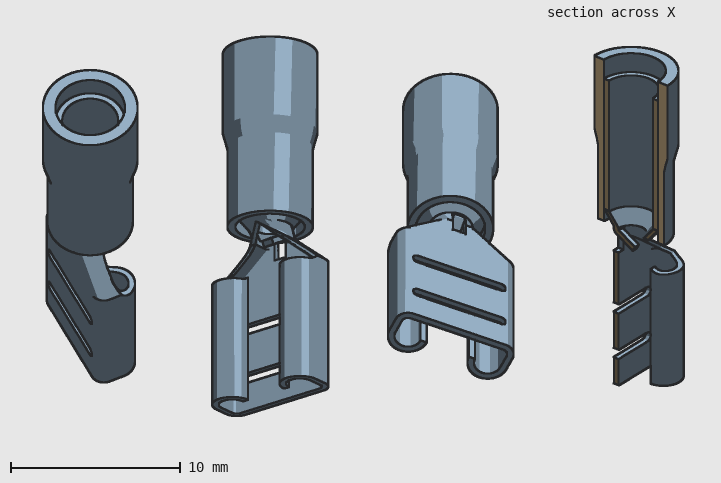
import cadquery as cq
import math

TOTAL_HEIGHT = 21.8
SLEEVE_BOTTOM = 10.8
CLIP_HEIGHT = 7.94
NECK_BOTTOM = 9.85
NECK_TOP = 10.73

SLEEVE_DIAMETER = 5.6
SLEEVE_RADIUS = SLEEVE_DIAMETER / 2
SLEEVE_LOWER_RADIUS = 2.53
SLEEVE_BORE_RADIUS = 2.05
SLEEVE_STRAIGHT = 5.0
SLEEVE_UPPER_BOTTOM = TOTAL_HEIGHT - SLEEVE_STRAIGHT
SLEEVE_LOWER_TOP = SLEEVE_BOTTOM + SLEEVE_STRAIGHT

WALL = 0.4

FERRULE_RECESS = 1.29
FERRULE_TOP = TOTAL_HEIGHT - FERRULE_RECESS

BARREL_RADIUS = 1.33
FUNNEL_HEIGHT = 0.87
FUNNEL_TOP = NECK_TOP + FUNNEL_HEIGHT

CLIP_WIDTH = 7.52
CLIP_HALF_WIDTH = CLIP_WIDTH / 2
BASE_Y = -BARREL_RADIUS
BASE_CORNER_RADIUS = 0.78
CURL_RADIUS = 1.2
CURL_CENTER_X = CLIP_HALF_WIDTH - CURL_RADIUS
SIDE_TOP_Y = 0.37
NECK_CORNER_RADIUS = BARREL_RADIUS / 2
RING_SPLIT_ANGLES = (0, 45, 120, 180)

RELIEF_BOTTOM = 7.59
RELIEF_RADIUS = 1.0
RELIEF_STRAIGHT = 0.63
NECK_EDGE_Y = 0.25

SLOT_HEIGHT = 0.6
SLOT_LENGTH = CLIP_WIDTH - 2 * BASE_CORNER_RADIUS
SLOT_CENTERS_Z = (2.11, 5.2)

WINDOW_WIDTH = 0.85
WINDOW_BOTTOM = 9.07
WINDOW_TOP = 10.57
TONGUE_WIDTH = 0.72
TONGUE_SLOPE = 30.0
TONGUE_TIP_Y = 0.1
TONGUE_TIP_Z = 9.55


def make_sleeve():
    profile = (
        cq.Workplane("XZ")
        .moveTo(SLEEVE_BORE_RADIUS, SLEEVE_BOTTOM)
        .lineTo(SLEEVE_LOWER_RADIUS, SLEEVE_BOTTOM)
        .lineTo(SLEEVE_LOWER_RADIUS, SLEEVE_LOWER_TOP)
        .lineTo(SLEEVE_RADIUS, SLEEVE_UPPER_BOTTOM)
        .lineTo(SLEEVE_RADIUS, TOTAL_HEIGHT)
        .lineTo(SLEEVE_BORE_RADIUS, TOTAL_HEIGHT)
        .close()
    )
    return profile.revolve(360, (0, 0, 0), (0, 1, 0))


def make_ferrule():
    return (
        cq.Workplane("XY")
        .workplane(offset=FUNNEL_TOP)
        .circle(SLEEVE_BORE_RADIUS)
        .circle(SLEEVE_BORE_RADIUS - WALL)
        .extrude(FERRULE_TOP - FUNNEL_TOP)
    )


def both_halves(half):
    return half.union(half.mirror("YZ"))


def polar_point(center_x, center_y, radius, degrees):
    """Point on a circle, the angle counted from -Y toward +X."""
    angle = math.radians(degrees)
    return (center_x + radius * math.sin(angle), center_y - radius * math.cos(angle))


def half_channel(half_width, corner_radius, side_top, z):
    """Wire around the +X half of a U-shaped section, open toward +Y."""
    center_x = half_width - corner_radius
    center_y = BASE_Y + corner_radius
    inner_radius = corner_radius - WALL
    return (
        cq.Workplane("XY")
        .workplane(offset=z)
        .moveTo(0, BASE_Y)
        .lineTo(center_x, BASE_Y)
        .threePointArc(polar_point(center_x, center_y, corner_radius, 45), (half_width, center_y))
        .lineTo(half_width, side_top)
        .lineTo(half_width - WALL, side_top)
        .lineTo(half_width - WALL, center_y)
        .threePointArc(
            polar_point(center_x, center_y, inner_radius, 45), (center_x, BASE_Y + WALL)
        )
        .lineTo(0, BASE_Y + WALL)
        .close()
        .val()
    )


def half_ring(outer_radius, z):
    """Wire around the +X half of a ring, its arcs split in three to pair with half_channel."""
    inner_radius = outer_radius - WALL
    ring = cq.Workplane("XY").workplane(offset=z).moveTo(0, -outer_radius)
    stretches = list(zip(RING_SPLIT_ANGLES, RING_SPLIT_ANGLES[1:]))
    for start, end in stretches:
        ring = ring.threePointArc(
            polar_point(0, 0, outer_radius, (start + end) / 2),
            polar_point(0, 0, outer_radius, end),
        )
    ring = ring.lineTo(0, inner_radius)
    for start, end in reversed(stretches):
        ring = ring.threePointArc(
            polar_point(0, 0, inner_radius, (start + end) / 2),
            polar_point(0, 0, inner_radius, start),
        )
    return ring.close().val()


def ruled_half(lower, upper):
    return cq.Workplane(obj=cq.Solid.makeLoft([lower, upper], True))


def make_clip():
    """Base plate with straight sides and edges curled back toward the base."""
    channel = cq.Workplane(
        obj=cq.Solid.extrudeLinear(
            half_channel(CLIP_HALF_WIDTH, BASE_CORNER_RADIUS, SIDE_TOP_Y, 0),
            [],
            cq.Vector(0, 0, CLIP_HEIGHT),
        )
    )
    curl_inner_radius = CURL_RADIUS - WALL
    curl = (
        cq.Workplane("XY")
        .moveTo(CURL_CENTER_X + CURL_RADIUS, SIDE_TOP_Y)
        .threePointArc(
            (CURL_CENTER_X, SIDE_TOP_Y + CURL_RADIUS), (CURL_CENTER_X - CURL_RADIUS, SIDE_TOP_Y)
        )
        .lineTo(CURL_CENTER_X - curl_inner_radius, SIDE_TOP_Y)
        .threePointArc(
            (CURL_CENTER_X, SIDE_TOP_Y + curl_inner_radius),
            (CURL_CENTER_X + curl_inner_radius, SIDE_TOP_Y),
        )
        .close()
        .extrude(CLIP_HEIGHT)
    )
    return both_halves(channel.union(curl))


def make_shoulder():
    """Channel that narrows from the clip to the neck."""
    lower = half_channel(CLIP_HALF_WIDTH, BASE_CORNER_RADIUS, SIDE_TOP_Y, CLIP_HEIGHT)
    upper = half_channel(BARREL_RADIUS, NECK_CORNER_RADIUS, NECK_EDGE_Y, NECK_BOTTOM)
    return both_halves(ruled_half(lower, upper))


def make_neck():
    """Open channel that closes into a round tube."""
    lower = half_channel(BARREL_RADIUS, NECK_CORNER_RADIUS, NECK_EDGE_Y, NECK_BOTTOM)
    return both_halves(ruled_half(lower, half_ring(BARREL_RADIUS, NECK_TOP)))


def make_funnel():
    profile = (
        cq.Workplane("XZ")
        .moveTo(BARREL_RADIUS - WALL, NECK_TOP)
        .lineTo(BARREL_RADIUS, NECK_TOP)
        .lineTo(SLEEVE_BORE_RADIUS, FUNNEL_TOP)
        .lineTo(SLEEVE_BORE_RADIUS - WALL, FUNNEL_TOP)
        .close()
    )
    return profile.revolve(360, (0, 0, 0), (0, 1, 0))


def make_relief():
    """Round-cornered cut across the back, clear of the base plate."""
    depth = CURL_RADIUS + SIDE_TOP_Y + WALL
    height = 2 * RELIEF_RADIUS + RELIEF_STRAIGHT
    return (
        cq.Workplane("XY")
        .workplane(offset=RELIEF_BOTTOM)
        .center(0, depth / 2)
        .rect(CLIP_WIDTH + WALL, depth)
        .extrude(height)
        .edges("|X and <Y")
        .fillet(RELIEF_RADIUS)
    )


def make_cross_slots():
    return (
        cq.Workplane("XZ")
        .pushPoints([(0, z) for z in SLOT_CENTERS_Z])
        .slot2D(SLOT_LENGTH, SLOT_HEIGHT)
        .extrude(-BASE_Y)
    )


def make_window():
    return (
        cq.Workplane("XZ")
        .center(0, (WINDOW_BOTTOM + WINDOW_TOP) / 2)
        .rect(WINDOW_WIDTH, WINDOW_TOP - WINDOW_BOTTOM)
        .extrude(BARREL_RADIUS + WALL)
    )


def make_tongue():
    """Wire stop that hangs from the top of the window and slopes down into the neck."""
    slope = math.radians(TONGUE_SLOPE)
    upper_tip_y = TONGUE_TIP_Y + WALL * math.sin(slope)
    upper_tip_z = TONGUE_TIP_Z + WALL * math.cos(slope)
    inner_y = BASE_Y + WALL
    inner_corner_z = upper_tip_z + (upper_tip_y - inner_y) * math.tan(slope)

    turn = math.pi / 2 - slope
    outer_corner_z = TONGUE_TIP_Z + (TONGUE_TIP_Y - BASE_Y) * math.tan(slope)
    tangent_length = WINDOW_TOP - outer_corner_z
    bend_radius = tangent_length / math.tan(turn / 2)
    bend_middle = (
        BASE_Y + bend_radius * (1 - math.cos(turn / 2)),
        WINDOW_TOP - bend_radius * math.sin(turn / 2),
    )
    bend_end = (
        BASE_Y + tangent_length * math.cos(slope),
        outer_corner_z - tangent_length * math.sin(slope),
    )
    return (
        cq.Workplane("YZ")
        .moveTo(TONGUE_TIP_Y, TONGUE_TIP_Z)
        .lineTo(upper_tip_y, upper_tip_z)
        .lineTo(inner_y, inner_corner_z)
        .lineTo(inner_y, WINDOW_TOP)
        .lineTo(BASE_Y, WINDOW_TOP)
        .threePointArc(bend_middle, bend_end)
        .close()
        .extrude(TONGUE_WIDTH / 2, both=True)
    )


def make_terminal():
    body = make_clip().union(make_shoulder()).cut(make_relief())
    body = body.cut(make_cross_slots())
    body = body.union(make_neck()).union(make_funnel())
    return body.cut(make_window()).union(make_tongue())


sleeve = make_sleeve()
ferrule = make_ferrule()
terminal = make_terminal()

result = cq.Compound.makeCompound([sleeve.val(), ferrule.val(), *terminal.vals()])